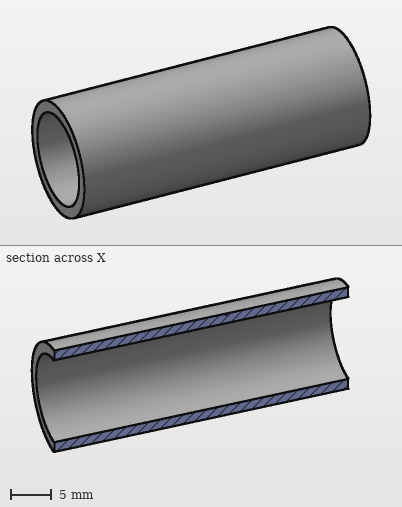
import cadquery as cq

length = 39.0
outer_diameter = 15.0
bore_diameter = 12.0

result = (
    cq.Workplane("XZ", origin=(0, length / 2, 0))
    .circle(outer_diameter / 2)
    .circle(bore_diameter / 2)
    .extrude(length)
)